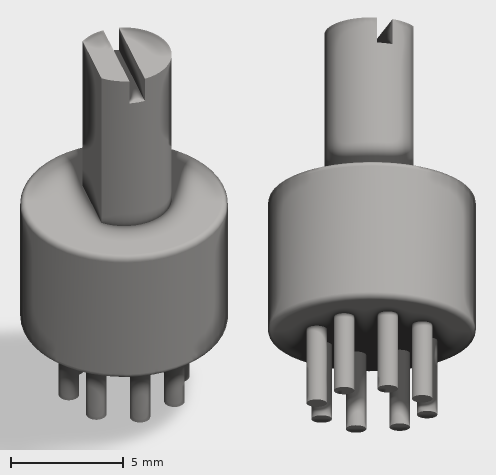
import cadquery as cq

total_height = 17.8
pin_length = 3.5
body_height = 6.51
body_diameter = 9.2
edge_radius = 0.25

shaft_diameter = 4.22
flat_distance = 1.48
slot_width = 0.71
slot_depth = 1.2

pin_diameter = 0.9
pin_circle_radius = 2.55
pin_count = 8

body_top = pin_length + body_height
shaft_length = total_height - body_top


def make_body():
    cylinder = cq.Workplane("XY").workplane(offset=pin_length).circle(body_diameter / 2).extrude(body_height)
    return cylinder.faces("<Z or >Z").edges().fillet(edge_radius)


def make_shaft():
    cylinder = cq.Workplane("XY").workplane(offset=body_top).circle(shaft_diameter / 2).extrude(shaft_length)
    beyond_flat = (
        cq.Workplane("XY")
        .workplane(offset=body_top)
        .center(0, -flat_distance - shaft_diameter / 2)
        .rect(shaft_diameter, shaft_diameter)
        .extrude(shaft_length)
    )
    slot = (
        cq.Workplane("XY")
        .workplane(offset=total_height - slot_depth)
        .rect(shaft_diameter, slot_width)
        .extrude(slot_depth)
    )
    return cylinder.cut(beyond_flat).cut(slot)


def make_pins():
    return (
        cq.Workplane("XY")
        .polarArray(pin_circle_radius, 0, 360, pin_count)
        .circle(pin_diameter / 2)
        .extrude(pin_length)
    )


result = make_body().union(make_shaft()).union(make_pins())